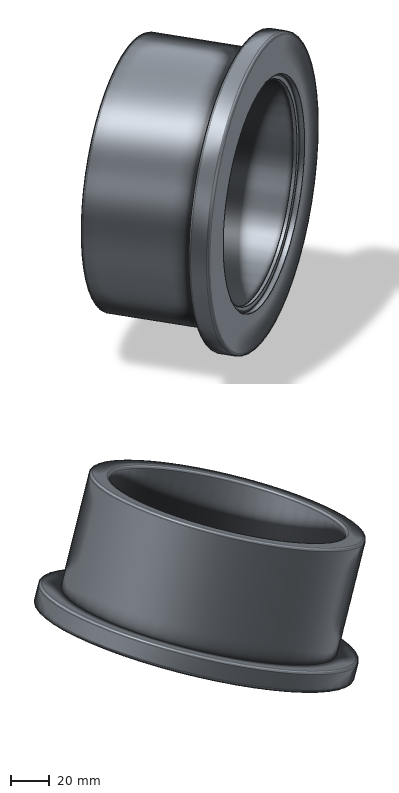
import cadquery as cq

total_length = 74.0
flange_diameter = 169
flange_thickness = 11.3
sleeve_diameter = 146.0
bore_diameter = 125
lip_diameter = 118.8
lip_thickness = 2.0
end_recess_depth = 3.0
edge_radius = 1.4


def cylinder_along_x(diameter, start, end):
    """Solid cylinder about the X axis, spanning start to end."""
    return cq.Workplane("YZ", origin=(start, 0, 0)).circle(diameter / 2).extrude(end - start)


flange_start = total_length - flange_thickness
flange = cylinder_along_x(flange_diameter, flange_start, total_length).edges().fillet(edge_radius)
sleeve = cylinder_along_x(sleeve_diameter, 0, flange_start + edge_radius)
body = sleeve.union(flange)

lip_end = total_length - end_recess_depth
lip_start = lip_end - lip_thickness
bore = cylinder_along_x(bore_diameter, 0, lip_start)
opening = cylinder_along_x(lip_diameter, 0, total_length)
end_recess = cylinder_along_x(bore_diameter, lip_end, total_length)
body = body.cut(bore).cut(opening).cut(end_recess)

result = body.faces("<X").edges().fillet(edge_radius)